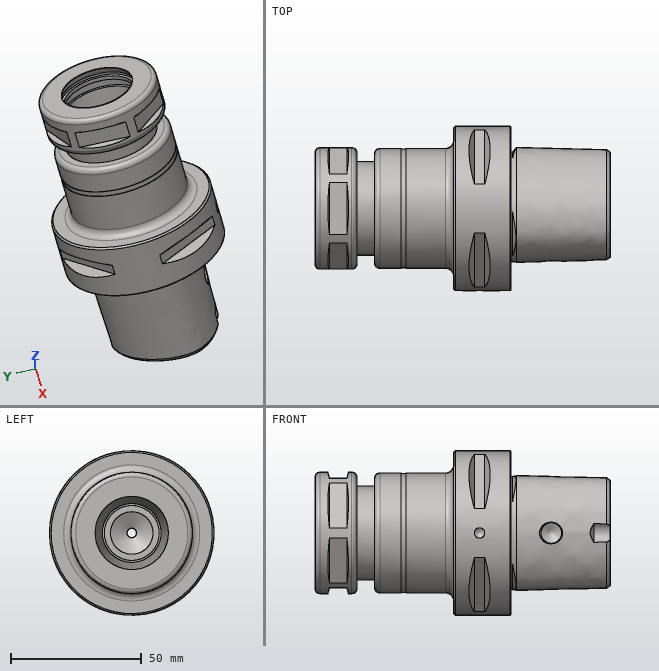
import cadquery as cq
import math

total_length = 113.0

nut_diameter = 46.5
nut_length = 16.0
nut_front_round = 1.8
nut_rear_round = 2.0
nut_flat_count = 6
nut_flat_apothem = 21.0
nut_flat_center = 8.8
nut_flat_width = 6.7
nut_flat_mouth_width = 7.9

neck_diameter = 36.0
body_start = 22.7
body_diameter = 46.0
body_front_round = 2.1
body_band_start = 32.8
body_band_width = 2.0
body_band_diameter = 45.7
body_flange_fillet = 3.0

flange_diameter = 63.0
flange_length = 22.0
flange_end = 75.0
flange_start = flange_end - flange_length
flange_front_chamfer = 0.7
flange_rear_chamfer = 0.5
flange_slot_count = 4
flange_slot_apothem = 27.9
flange_slot_center = 62.9
flange_slot_width = 4.0
flange_slot_mouth_width = 8.1
index_hole_diameter = 4.0
index_hole_depth = 0.9

shank_taper_start = 77.1
shank_mean_radius = 22.0
lobe_height = 1.4
taper_per_length = 1 / 40
outline_points = 48
shank_end_chamfer_length = 1.5
shank_end_chamfer_height = 1.0
root_step = 0.2
undercut_start = 75.6
undercut_radius = 21.7
undercut_depth = 1.7

drill_point_angle = 118.0
drill_clearance = 3.4

side_hole_position = 90.4
side_hole_diameter = 7.9
side_hole_chamfer = 0.5
side_hole_depth = 7.9
keyway_diameter = 8.1
keyway_axis_radius = 21.7
keyway_length = 6.3

mouth_diameter = 28.0
mouth_land = 0.2
nut_groove_diameter = 30.4
nut_groove_start = 2.8
nut_groove_end = 3.8
lip_end = 5.4
nut_chamber_diameter = 32.5
collet_seat_start = 9.4
collet_seat_diameter = 30.4
collet_half_angle = 8.0
collet_seat_end_diameter = 22.5
pocket_diameter = 21.0
pocket_depth = 6.8
inner_bore_diameter = 16.3
inner_bore_depth = 6.8
coolant_diameter = 3.5


def cylinder(start, end, diameter):
    """Solid cylinder on the X axis."""
    return cq.Workplane("YZ", origin=(start, 0, 0)).circle(diameter / 2).extrude(end - start)


def drill_tip_length(diameter):
    return diameter / 2 / math.tan(math.radians(drill_point_angle / 2))


def drill(diameter, depth):
    """Pointed drill on the Z axis: the mouth is at Z = 0 and the point is at negative Z."""
    radius = diameter / 2
    return (
        cq.Workplane("XZ")
        .moveTo(0, drill_clearance)
        .lineTo(radius, drill_clearance)
        .lineTo(radius, -depth)
        .lineTo(0, -depth - drill_tip_length(diameter))
        .close()
        .revolve(360, (0, 0, 0), (0, 1, 0))
    )


def flat_cutter(center, apothem, floor_width, mouth_width, part_diameter):
    """Flared straight groove along Y whose floor lies at Z = apothem."""
    rim = part_diameter / 2
    return (
        cq.Workplane("XZ", origin=(center, part_diameter / 2, 0))
        .moveTo(-floor_width / 2, apothem)
        .lineTo(floor_width / 2, apothem)
        .lineTo(mouth_width / 2, rim)
        .lineTo(-mouth_width / 2, rim)
        .close()
        .extrude(part_diameter)
    )


def cut_flats(body, cutter, count, first_angle):
    """Repeat one cutter evenly around the X axis."""
    for i in range(count):
        body = body.cut(cutter.rotate((0, 0, 0), (1, 0, 0), first_angle + i * 360 / count))
    return body


def make_nut():
    nut = cylinder(0, nut_length, nut_diameter)
    nut = nut.faces("<X").edges().fillet(nut_front_round)
    nut = nut.faces(">X").edges().fillet(nut_rear_round)
    cutter = flat_cutter(
        nut_flat_center, nut_flat_apothem, nut_flat_width, nut_flat_mouth_width, nut_diameter
    )
    return cut_flats(nut, cutter, nut_flat_count, 0)


def make_body():
    body = cylinder(body_start, flange_start, body_diameter).faces("<X").edges().fillet(body_front_round)
    band_end = body_band_start + body_band_width
    band = cylinder(body_band_start, band_end, body_diameter)
    return body.cut(band.cut(cylinder(body_band_start, band_end, body_band_diameter)))


def make_body_fillet():
    """Concave ring that blends the body into the flange face."""
    body_radius = body_diameter / 2
    arc_start = flange_start - body_flange_fillet
    arc_top = body_radius + body_flange_fillet
    arc_reach = body_flange_fillet * math.sqrt(0.5)
    return (
        cq.Workplane("XY")
        .moveTo(arc_start, body_radius)
        .threePointArc((arc_start + arc_reach, arc_top - arc_reach), (flange_start, arc_top))
        .lineTo(flange_start, 0)
        .lineTo(arc_start, 0)
        .close()
        .revolve(360, (0, 0, 0), (1, 0, 0))
    )


def make_flange():
    flange = cylinder(flange_start, flange_end, flange_diameter)
    flange = flange.faces("<X").edges().chamfer(flange_front_chamfer)
    flange = flange.faces(">X").edges().chamfer(flange_rear_chamfer)
    cutter = flat_cutter(
        flange_slot_center,
        flange_slot_apothem,
        flange_slot_width,
        flange_slot_mouth_width,
        flange_diameter,
    )
    flange = cut_flats(flange, cutter, flange_slot_count, 180 / flange_slot_count)
    index_hole = drill(index_hole_diameter, index_hole_depth).rotate((0, 0, 0), (1, 0, 0), 90)
    return flange.cut(index_hole.translate((flange_slot_center, -flange_diameter / 2, 0)))


def lobed_outline(workplane, mean_radius):
    """Three-lobe curve of constant width, with one lobe on the local X direction."""

    def point(angle):
        support = mean_radius + lobe_height * math.cos(3 * angle)
        slope = -3 * lobe_height * math.sin(3 * angle)
        return (
            support * math.cos(angle) - slope * math.sin(angle),
            support * math.sin(angle) + slope * math.cos(angle),
        )

    points = [point(2 * math.pi * i / outline_points) for i in range(outline_points)]
    return workplane.spline(points, periodic=True).close()


def lobed_taper(start, end, start_radius, end_radius):
    """Ruled solid between two lobed outlines."""
    first_outline = lobed_outline(cq.Workplane("YZ", origin=(start, 0, 0)), start_radius)
    return lobed_outline(first_outline.workplane(offset=end - start), end_radius).loft(ruled=True)


def make_shank():
    chamfer_start = total_length - shank_end_chamfer_length
    taper_end_radius = shank_mean_radius - (chamfer_start - shank_taper_start) * taper_per_length
    tip_radius = taper_end_radius - shank_end_chamfer_height
    root_radius = shank_mean_radius - root_step
    root = lobed_taper(flange_end, shank_taper_start, root_radius, root_radius)
    taper = lobed_taper(shank_taper_start, chamfer_start, shank_mean_radius, taper_end_radius)
    end_chamfer = lobed_taper(chamfer_start, total_length, taper_end_radius, tip_radius)

    undercut = (
        cq.Workplane("XY")
        .moveTo(flange_end, undercut_radius)
        .lineTo(undercut_start, undercut_radius)
        .lineTo(shank_taper_start, undercut_radius + undercut_depth)
        .lineTo(flange_end, undercut_radius + undercut_depth)
        .close()
        .revolve(360, (0, 0, 0), (1, 0, 0))
    )
    return root.cut(undercut).union(taper).union(end_chamfer)


def cut_shank_side(body):
    surface = shank_mean_radius - lobe_height - (side_hole_position - shank_taper_start) * taper_per_length
    countersink = (
        cq.Workplane("XY", origin=(0, 0, -side_hole_chamfer))
        .circle(side_hole_diameter / 2)
        .workplane(offset=2 * side_hole_chamfer)
        .circle(side_hole_diameter / 2 + 2 * side_hole_chamfer)
        .loft()
    )
    side_hole = drill(side_hole_diameter, side_hole_depth).union(countersink)
    side_hole = side_hole.rotate((0, 0, 0), (1, 0, 0), 90)
    keyway = drill(keyway_diameter, keyway_length).rotate((0, 0, 0), (0, 1, 0), 90)
    body = body.cut(side_hole.translate((side_hole_position, -surface, 0)))
    return body.cut(keyway.translate((total_length, -keyway_axis_radius, 0)))


def make_bore():
    mouth = mouth_diameter / 2
    groove = nut_groove_diameter / 2
    chamber = nut_chamber_diameter / 2
    seat_start = collet_seat_diameter / 2
    seat_end = collet_seat_end_diameter / 2
    pocket = pocket_diameter / 2
    inner = inner_bore_diameter / 2
    coolant = coolant_diameter / 2
    tip_slope = math.tan(math.radians(drill_point_angle / 2))
    seat_end_x = collet_seat_start + (seat_start - seat_end) / math.tan(math.radians(collet_half_angle))
    pocket_end = seat_end_x + pocket_depth
    inner_end = pocket_end + inner_bore_depth
    return (
        cq.Workplane("XY")
        .moveTo(0, 0)
        .lineTo(0, mouth)
        .lineTo(mouth_land, mouth)
        .lineTo(nut_groove_start, groove)
        .lineTo(nut_groove_end, groove)
        .lineTo(nut_groove_end, mouth)
        .lineTo(lip_end, mouth)
        .lineTo(lip_end, chamber)
        .lineTo(collet_seat_start, chamber)
        .lineTo(collet_seat_start, seat_start)
        .lineTo(seat_end_x, seat_end)
        .lineTo(seat_end_x, pocket)
        .lineTo(pocket_end, pocket)
        .lineTo(pocket_end, inner)
        .lineTo(inner_end, inner)
        .lineTo(inner_end + (inner - coolant) / tip_slope, coolant)
        .lineTo(total_length, coolant)
        .lineTo(total_length, 0)
        .close()
        .revolve(360, (0, 0, 0), (1, 0, 0))
    )


neck = cylinder(nut_length, body_start, neck_diameter)
holder = make_nut().union(neck).union(make_body()).union(make_body_fillet())
holder = holder.union(make_flange()).union(make_shank())
result = cut_shank_side(holder).cut(make_bore())